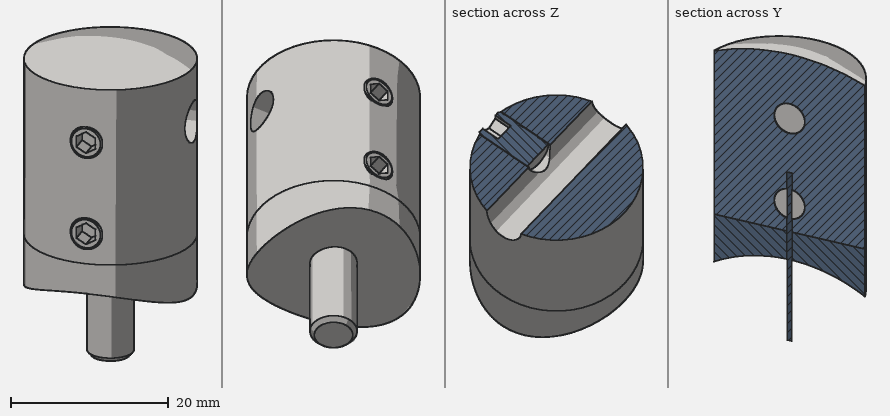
import cadquery as cq
import math

total_height = 42.45
post_diameter = 22.0
post_radius = post_diameter / 2
through_length = 2 * post_diameter

cap_rise = 2.2
housing_base_z = 16.43
shoulder_z = total_height - cap_rise

bore_diameter = 5.5
bore_z = 32.9

saddle_radius = 21.22
saddle_crown_z = 12.35

stud_diameter = 6.0
stud_radius = stud_diameter / 2
stud_top_z = 25.0
stud_chamfer_width = 0.55
stud_chamfer_height = 0.65

screw_diameter = 4.25
screw_spacing = 12.4
screw_chamfer = 0.2
screw_length = post_radius - stud_radius
hex_across_flats = 2.5
hex_depth = 2.5
screw_heights = [bore_z, bore_z - screw_spacing]


def cylinder_along_y(diameter, start_y, length, z):
    """Solid cylinder on X = 0 at height z, running from start_y toward +Y."""
    plane = cq.Plane(origin=(0, start_y, z), xDir=(1, 0, 0), normal=(0, 1, 0))
    return cq.Workplane(plane).circle(diameter / 2).extrude(length)


def make_stud_core():
    """Plain cylinder of the stud, also the shape of the blind hole that it fills."""
    return cq.Workplane("XY").circle(stud_radius).extrude(stud_top_z)


def make_stud():
    """Round stud, chamfered at its lower end."""
    return make_stud_core().faces("<Z").edges().chamfer(stud_chamfer_height, stud_chamfer_width)


def make_base():
    """Saddle-shaped base between the tube and the housing."""
    base = cq.Workplane("XY").circle(post_radius).extrude(housing_base_z)
    tube_z = saddle_crown_z - saddle_radius
    tube = cylinder_along_y(2 * saddle_radius, -through_length / 2, through_length, tube_z)
    return base.cut(tube).cut(make_stud_core())


def make_housing():
    """Domed housing with the rail bore, the stud hole and the set screw holes."""
    cap_radius = (post_radius**2 + cap_rise**2) / (2 * cap_rise)
    half_angle = math.asin(post_radius / cap_radius) / 2
    arc_middle = (
        cap_radius * math.sin(half_angle),
        total_height - cap_radius * (1 - math.cos(half_angle)),
    )
    housing = (
        cq.Workplane("XZ")
        .moveTo(0, housing_base_z)
        .lineTo(post_radius, housing_base_z)
        .lineTo(post_radius, shoulder_z)
        .threePointArc(arc_middle, (0, total_height))
        .close()
        .revolve(360, (0, 0, 0), (0, 1, 0))
    )
    bore = (
        cq.Workplane("YZ", origin=(-through_length / 2, 0, bore_z))
        .circle(bore_diameter / 2)
        .extrude(through_length)
    )
    housing = housing.cut(bore).cut(make_stud_core())
    for z in screw_heights:
        housing = housing.cut(cylinder_along_y(screw_diameter, -post_radius, post_radius, z))
    return housing


def make_set_screw(z):
    """Set screw at height z, its outer face flush with the post and holding a hex socket."""
    screw = cylinder_along_y(screw_diameter, -post_radius, screw_length, z)
    screw = screw.faces("<Y").edges().chamfer(screw_chamfer)
    corner_diameter = hex_across_flats / math.cos(math.pi / 6)
    plane = cq.Plane(origin=(0, -post_radius, z), xDir=(0, 0, 1), normal=(0, 1, 0))
    socket = cq.Workplane(plane).polygon(6, corner_diameter).extrude(hex_depth)
    return screw.cut(socket)


housing = make_housing()
base = make_base()
stud = make_stud()
set_screws = [make_set_screw(z).val() for z in screw_heights]

result = cq.Compound.makeCompound([housing.val(), base.val(), stud.val(), *set_screws])